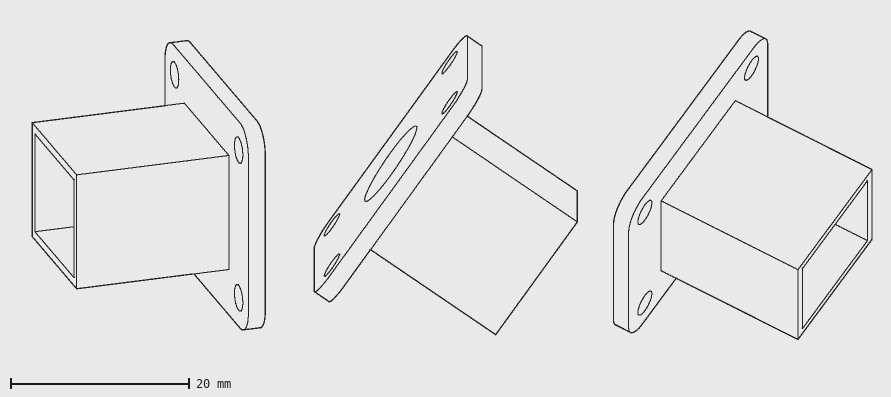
import cadquery as cq

flange_width = 30.0
flange_height = 25.0
flange_thickness = 2.0
corner_radius = 3.0

total_depth = 20.0
tube_width = 16.0
tube_height = 13.9
wall = 1.0
tube_length = total_depth - flange_thickness

center_hole_diameter = 10.2
bolt_hole_diameter = 3.0
bolt_spacing_x = 23.0
bolt_spacing_z = 18.0

flange = (
    cq.Workplane("XZ")
    .rect(flange_width, flange_height)
    .extrude(flange_thickness)
    .edges("|Y")
    .fillet(corner_radius)
)

tube = (
    cq.Workplane("XZ", origin=(0, -flange_thickness, 0))
    .rect(tube_width, tube_height)
    .rect(tube_width - 2 * wall, tube_height - 2 * wall)
    .extrude(tube_length)
)

center_hole = (
    cq.Workplane("XZ")
    .circle(center_hole_diameter / 2)
    .extrude(flange_thickness)
)

bolt_holes = (
    cq.Workplane("XZ")
    .rect(bolt_spacing_x, bolt_spacing_z, forConstruction=True)
    .vertices()
    .circle(bolt_hole_diameter / 2)
    .extrude(flange_thickness)
)

result = flange.union(tube).cut(center_hole).cut(bolt_holes)